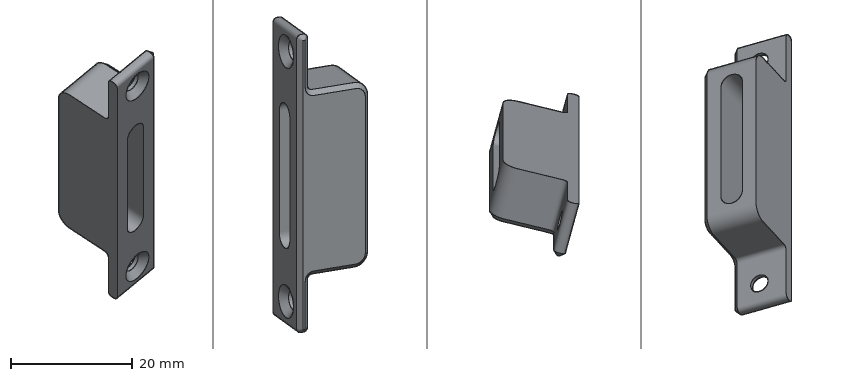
import cadquery as cq

depth = 13.0
width = 9.9
length = 52.5

plate_thickness = 2.0
body_length = 32.5
body_corner_radius = 2.5
edge_chamfer = 0.8
radius_clearance = 0.01
plate_end_radius = edge_chamfer + radius_clearance
inner_fillet_radius = 0.8

hole_diameter = 3.2
hole_spacing = 44.0
hole_height = 5.0
countersink_diameter = 5.7
countersink_angle = 90.0

slot_width = 4.0
slot_length = 25.5
slot_height = 4.5

plate_face_x = depth / 2 - plate_thickness


def centred_box(x_start, x_end, z_length):
    """Full-width block between two X positions, centred in Y and Z."""
    return (
        cq.Workplane("XY")
        .box(x_end - x_start, width, z_length)
        .translate(((x_start + x_end) / 2, 0, 0))
    )


def make_blank():
    """Hat-shaped profile with rounded corners and one chamfered +Y rim."""
    plate = centred_box(plate_face_x, depth / 2, length).edges("|Y").fillet(plate_end_radius)
    body = centred_box(-depth / 2, depth / 2, body_length).edges("|Y and <X").fillet(body_corner_radius)
    blank = plate.union(body).clean()
    upper_root = cq.NearestToPointSelector((plate_face_x, 0, body_length / 2))
    lower_root = cq.NearestToPointSelector((plate_face_x, 0, -body_length / 2))
    blank = blank.edges(upper_root + lower_root).fillet(inner_fillet_radius)
    return blank.faces(">Y").chamfer(edge_chamfer)


def cut_screw_holes(part):
    """Holes through both ends of the plate, countersunk from the +X face."""
    hole_y = hole_height - width / 2
    return (
        part.faces(">X")
        .workplane(origin=(depth / 2, 0, 0))
        .pushPoints([(hole_y, -hole_spacing / 2), (hole_y, hole_spacing / 2)])
        .cskHole(hole_diameter, countersink_diameter, countersink_angle)
    )


def cut_slot(part):
    """Long rounded slot through the body along X."""
    return part.cut(
        cq.Workplane("YZ")
        .center(slot_height - width / 2, 0)
        .slot2D(slot_length, slot_width, 90)
        .extrude(depth, both=True)
    )


result = cut_slot(cut_screw_holes(make_blank()))